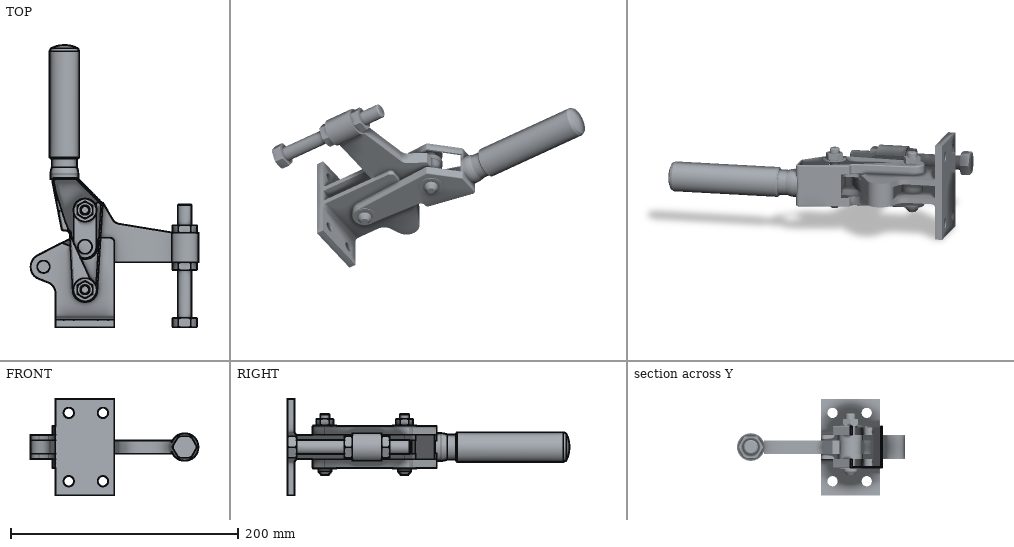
import cadquery as cq
import math


ARM_HALF = 6.0
CHEEK_OUTER = 10.7
HANDLE_HALF = 18.7
WASHER_OUTER = 19.2

ARM_PIVOT = (-36.5, 53.3)
HANDLE_PIVOT = (0, 33.0)
LINK_LOWER = (0, 71.0)
LINK_UPPER = (0, 103.3)

PLATE_LEFT, PLATE_RIGHT = -26.1, 26.0
PLATE_THICKNESS = 6.5
PLATE_HEIGHT = 85.0
PLATE_FILLET = 3.0
MOUNT_HOLE_DIAMETER = 9.0
MOUNT_HOLE_MIDDLE_X = 0.7
MOUNT_HOLE_SPACING_X = 30.0
MOUNT_HOLE_SPACING_Z = 60.2
CHEEK_TOP = 79.0
CHEEK_CORNER_RADIUS = 4.0
CHEEK_PEAK = (-20.7, 74.5)
CHEEK_NECK = (PLATE_LEFT, 36.8)
CHEEK_NECK_RADIUS = 10.0
NOTCH_RADIUS = 11.0
NOTCH_CORNER_RADIUS = 3.2

LINK_RADIUS = 10.0

ARM_EYE_RADIUS = 11.5
ARM_JOURNAL_RADIUS = 5.5
LINK_JOURNAL_RADIUS = 6.2
ARM_BOTTOM = 57.2
ARM_HEEL_X = -6.2
ARM_INNER_CORNER = (9.7, 89.5)
ARM_INNER_CORNER_RADIUS = 3.7
ARM_HORN_TIP = (16.0, 109.5)
ARM_SHOULDER = (26.5, 91.8)
ARM_SHOULDER_RADIUS = 7.5
ARM_END = (76.5, 83.5)
BOSS_RADIUS = 12.2
BOSS_LENGTH = 26.0

SPINDLE_X = 87.8
SPINDLE_RADIUS = 6.2
SPINDLE_TOP = 108.5
SPINDLE_CHAMFER = 1.0
SPINDLE_HEX_CORNERS = 22.0
SPINDLE_HEAD_THICKNESS = 8.2
SPINDLE_NUT_THICKNESS = 7.0
HEX_CHAMFER = 0.7

BOLT_RADIUS = 4.2
BOLT_TOP = 29.4
BOLT_CHAMFER = 0.7
SPACER_RADIUS = 9.5
WASHER_RADIUS = 10.2
BOLT_NUT_THICKNESS = 5.7
BOLT_NUT_CORNERS = 15.5
BOLT_HEAD_RADIUS = 6.0
BOLT_HEAD_TIP_RADIUS = 3.2
BOLT_HEAD_SHOULDER = 21.5
BOLT_HEAD_END = 24.6

SHEET = 1.5
HANDLE_TOP = 132.0
HANDLE_TOP_LEFT = (-29.5, HANDLE_TOP)
HANDLE_TOP_RIGHT = (-7.0, HANDLE_TOP)
HANDLE_ELBOW = (15.7, 109.0)
HANDLE_HEEL = (-20.5, 85.0)
HANDLE_WAIST = (-13.7, 85.0)
HANDLE_EYE_RADIUS = 11.0
HANDLE_TOP_LEFT_RADIUS = 3.0
HANDLE_BEND_RADIUS = 2.2
HANDLE_WAIST_RADIUS = 3.7
FLANGE_EDGE_RADIUS = 1.0
WEB_SLOT_TOP = 92.5
FLANGE_OPENING_EDGE = [(-25.0, 116.5), (-18.0, 94.5), (-10.0, 74.5), (4.0, 43.8), (9.2, 38.3)]

GRIP_X = -18.2
GRIP_RADIUS = 13.2
GRIP_BOTTOM = 148.5
GRIP_BOTTOM_CHAMFER = 1.2
GRIP_SIDE_TOP = 243.4
GRIP_DOME_EDGE = (12.0, 245.9)
GRIP_TOP = 248.8
STEM_RADIUS = 11.2
COLLAR_RADIUS = 12.5
COLLAR_TOP = 135.4
COLLAR_BLEND_TOP = 140.8


def tangent_point(center, radius, point, side):
    """Point where a line from an outside point touches a circle; side is +1 or -1."""
    dx = point[0] - center[0]
    dy = point[1] - center[1]
    angle = math.atan2(dy, dx) + side * math.acos(radius / math.hypot(dx, dy))
    return circle_point(center, radius, angle)


def circle_point(center, radius, angle):
    return (center[0] + radius * math.cos(angle), center[1] + radius * math.sin(angle))


def layer(bottom):
    """Sketch plane parallel to XY at height Z = bottom."""
    return cq.Workplane("XY").workplane(offset=bottom)


def disc(center, radius, bottom, top):
    return layer(bottom).center(*center).circle(radius).extrude(top - bottom)


def round_corner(solid, corner, radius):
    """Round the edge parallel to Z nearest to an outline corner."""
    nearest = cq.selectors.NearestToPointSelector((corner[0], corner[1], 0))
    return solid.edges("|Z").edges(nearest).fillet(radius)


def hex_prism(plane, corners, thickness):
    """Hexagon with its corners cut back at both ends by a chamfered round blank."""
    blank = plane.circle(corners / 2).extrude(thickness).edges("%CIRCLE").chamfer(HEX_CHAMFER)
    return plane.polygon(6, corners).extrude(thickness).intersect(blank)



def cheek_pair():
    """Block with the cheek outline, slotted in the middle for the arm."""
    upper_tangent = tangent_point(ARM_PIVOT, ARM_EYE_RADIUS, CHEEK_PEAK, 1)
    lower_tangent = tangent_point(ARM_PIVOT, ARM_EYE_RADIUS, CHEEK_NECK, -1)
    eye_left = circle_point(ARM_PIVOT, ARM_EYE_RADIUS, math.pi)
    notch_y = LINK_LOWER[1]
    block = (
        layer(-CHEEK_OUTER)
        .moveTo(PLATE_LEFT, 0)
        .lineTo(PLATE_RIGHT, 0)
        .lineTo(PLATE_RIGHT, CHEEK_TOP)
        .lineTo(NOTCH_RADIUS, CHEEK_TOP)
        .lineTo(NOTCH_RADIUS, notch_y)
        .threePointArc((0, notch_y - NOTCH_RADIUS), (-NOTCH_RADIUS, notch_y))
        .lineTo(*CHEEK_PEAK)
        .lineTo(*upper_tangent)
        .threePointArc(eye_left, lower_tangent)
        .lineTo(*CHEEK_NECK)
        .close()
        .extrude(2 * CHEEK_OUTER)
    )
    block = round_corner(block, (PLATE_RIGHT, CHEEK_TOP), CHEEK_CORNER_RADIUS)
    block = round_corner(block, (NOTCH_RADIUS, CHEEK_TOP), NOTCH_CORNER_RADIUS)
    block = round_corner(block, CHEEK_NECK, CHEEK_NECK_RADIUS)
    slot_length = 2 * (PLATE_RIGHT - ARM_PIVOT[0])
    slot = cq.Workplane("XY").box(slot_length, CHEEK_TOP, 2 * ARM_HALF).translate(
        (0, PLATE_THICKNESS + CHEEK_TOP / 2, 0)
    )
    return block.cut(slot)


def make_base():
    width = PLATE_RIGHT - PLATE_LEFT
    plate = cq.Workplane("XY").box(width, PLATE_THICKNESS, PLATE_HEIGHT).translate(
        ((PLATE_LEFT + PLATE_RIGHT) / 2, PLATE_THICKNESS / 2, 0)
    )
    base = plate.union(cheek_pair())
    for side in (-1, 1):
        root = cq.selectors.NearestToPointSelector((0, PLATE_THICKNESS, side * CHEEK_OUTER))
        base = base.edges("|X").edges(root).fillet(PLATE_FILLET)
    mount_holes = (
        cq.Workplane("XZ")
        .center(MOUNT_HOLE_MIDDLE_X, 0)
        .rarray(MOUNT_HOLE_SPACING_X, MOUNT_HOLE_SPACING_Z, 2, 2)
        .circle(MOUNT_HOLE_DIAMETER / 2)
        .extrude(-PLATE_THICKNESS)
    )
    base = base.cut(mount_holes)
    base = base.cut(disc(ARM_PIVOT, ARM_JOURNAL_RADIUS, -CHEEK_OUTER, CHEEK_OUTER))
    return base.cut(disc(HANDLE_PIVOT, BOLT_RADIUS, -CHEEK_OUTER, CHEEK_OUTER))



def make_arm():
    """Bent arm with two journals, and a boss that carries the spindle."""
    heel = (ARM_HEEL_X, ARM_BOTTOM)
    arm = (
        layer(-ARM_HALF)
        .moveTo(*heel)
        .lineTo(ARM_END[0], ARM_BOTTOM)
        .lineTo(*ARM_END)
        .lineTo(*ARM_SHOULDER)
        .lineTo(*ARM_HORN_TIP)
        .lineTo(ARM_INNER_CORNER[0], ARM_HORN_TIP[1])
        .lineTo(*ARM_INNER_CORNER)
        .lineTo(*tangent_point(ARM_PIVOT, ARM_EYE_RADIUS, ARM_INNER_CORNER, 1))
        .threePointArc(
            circle_point(ARM_PIVOT, ARM_EYE_RADIUS, math.pi),
            tangent_point(ARM_PIVOT, ARM_EYE_RADIUS, heel, -1),
        )
        .close()
        .extrude(2 * ARM_HALF)
    )
    arm = round_corner(arm, ARM_INNER_CORNER, ARM_INNER_CORNER_RADIUS)
    arm = round_corner(arm, ARM_SHOULDER, ARM_SHOULDER_RADIUS)
    arm = arm.union(disc(ARM_PIVOT, ARM_JOURNAL_RADIUS, -CHEEK_OUTER, CHEEK_OUTER))
    arm = arm.union(disc(LINK_LOWER, LINK_JOURNAL_RADIUS, -CHEEK_OUTER, CHEEK_OUTER))
    arm = arm.union(spindle_plane(ARM_BOTTOM).circle(BOSS_RADIUS).extrude(BOSS_LENGTH))
    return arm.cut(spindle_plane(ARM_BOTTOM).circle(SPINDLE_RADIUS).extrude(BOSS_LENGTH))



def make_link(bottom):
    length = LINK_UPPER[1] - LINK_LOWER[1]
    thickness = CHEEK_OUTER - ARM_HALF
    link = (
        layer(bottom)
        .center(0, (LINK_UPPER[1] + LINK_LOWER[1]) / 2)
        .slot2D(length + 2 * LINK_RADIUS, 2 * LINK_RADIUS, 90)
        .extrude(thickness)
    )
    link = link.cut(disc(LINK_LOWER, LINK_JOURNAL_RADIUS, bottom, bottom + thickness))
    return link.cut(disc(LINK_UPPER, BOLT_RADIUS, bottom, bottom + thickness))



def spindle_plane(bottom):
    """Sketch plane across the spindle axis at Y = bottom, facing +Y."""
    return cq.Workplane(cq.Plane((SPINDLE_X, bottom, 0), xDir=(1, 0, 0), normal=(0, 1, 0)))


def make_spindle():
    """Hex-headed screw with a lock nut on each side of the arm boss."""
    spindle = (
        spindle_plane(0).circle(SPINDLE_RADIUS).extrude(SPINDLE_TOP).faces(">Y").chamfer(SPINDLE_CHAMFER)
    )
    hexes = [
        (0, SPINDLE_HEAD_THICKNESS),
        (ARM_BOTTOM - SPINDLE_NUT_THICKNESS, SPINDLE_NUT_THICKNESS),
        (ARM_BOTTOM + BOSS_LENGTH, SPINDLE_NUT_THICKNESS),
    ]
    for bottom, thickness in hexes:
        spindle = spindle.union(hex_prism(spindle_plane(bottom), SPINDLE_HEX_CORNERS, thickness))
    return spindle



def make_pivot_bolt(center):
    """Bolt with a spacer between the plates, a washer at each end and a nut on top."""
    bolt = disc(center, BOLT_RADIUS, -BOLT_HEAD_SHOULDER, BOLT_TOP).faces(">Z").chamfer(BOLT_CHAMFER)
    bolt = bolt.union(disc(center, SPACER_RADIUS, -ARM_HALF, ARM_HALF))
    bolt = bolt.union(disc(center, WASHER_RADIUS, HANDLE_HALF, WASHER_OUTER))
    bolt = bolt.union(disc(center, WASHER_RADIUS, -WASHER_OUTER, -HANDLE_HALF))
    nut_plane = layer(WASHER_OUTER).center(*center).transformed(rotate=(0, 0, 90))
    bolt = bolt.union(hex_prism(nut_plane, BOLT_NUT_CORNERS, BOLT_NUT_THICKNESS))
    head = (
        cq.Workplane("XZ")
        .moveTo(0, -WASHER_OUTER)
        .lineTo(BOLT_HEAD_RADIUS, -WASHER_OUTER)
        .lineTo(BOLT_HEAD_RADIUS, -BOLT_HEAD_SHOULDER)
        .lineTo(BOLT_HEAD_TIP_RADIUS, -BOLT_HEAD_END)
        .lineTo(0, -BOLT_HEAD_END)
        .close()
        .revolve(360, (0, 0), (0, 1))
        .translate((center[0], center[1], 0))
    )
    return bolt.union(head)



def handle_block():
    """Solid block with the outline of the sheet-metal channel."""
    eye_bottom = circle_point(HANDLE_PIVOT, HANDLE_EYE_RADIUS, -math.pi / 2)
    block = (
        layer(-HANDLE_HALF)
        .moveTo(*HANDLE_TOP_LEFT)
        .lineTo(*HANDLE_TOP_RIGHT)
        .lineTo(*HANDLE_ELBOW)
        .lineTo(*tangent_point(HANDLE_PIVOT, HANDLE_EYE_RADIUS, HANDLE_ELBOW, -1))
        .threePointArc(eye_bottom, tangent_point(HANDLE_PIVOT, HANDLE_EYE_RADIUS, HANDLE_WAIST, 1))
        .lineTo(*HANDLE_WAIST)
        .lineTo(*HANDLE_HEEL)
        .close()
        .extrude(2 * HANDLE_HALF)
    )
    block = round_corner(block, HANDLE_TOP_LEFT, HANDLE_TOP_LEFT_RADIUS)
    block = round_corner(block, HANDLE_WAIST, HANDLE_WAIST_RADIUS)
    for corner in (HANDLE_TOP_RIGHT, HANDLE_ELBOW, HANDLE_HEEL):
        block = round_corner(block, corner, HANDLE_BEND_RADIUS)
    return block


def flange_opening():
    """Cutter right of the lip that the upper flange keeps along the web and round the pivot."""
    right = HANDLE_ELBOW[0]
    lowest = FLANGE_OPENING_EDGE[-1][1]
    outline = [HANDLE_TOP_LEFT, *FLANGE_OPENING_EDGE, (right, lowest), (right, HANDLE_TOP)]
    return layer(0).polyline(outline).close().extrude(HANDLE_HALF)


def rim_gap():
    """Cutter that leaves only low rims below the web slot and beyond the end wall."""
    left = HANDLE_TOP_LEFT[0]
    right = HANDLE_ELBOW[0]
    corner_x = HANDLE_TOP_RIGHT[0]
    outline = [
        (left, 0),
        (right, 0),
        (right, HANDLE_TOP),
        (corner_x, HANDLE_TOP),
        (corner_x, WEB_SLOT_TOP),
        (left, WEB_SLOT_TOP),
    ]
    return layer(-CHEEK_OUTER).polyline(outline).close().extrude(2 * CHEEK_OUTER)


def stem_and_grip():
    """Collar, stem and domed grip, turned about the grip axis."""
    dome_height = GRIP_TOP - GRIP_DOME_EDGE[1]
    dome_radius = (GRIP_DOME_EDGE[0] ** 2 / dome_height + dome_height) / 2
    dome_middle_x = GRIP_DOME_EDGE[0] / 2
    dome_middle_y = GRIP_TOP - dome_radius + math.sqrt(dome_radius**2 - dome_middle_x**2)
    return (
        cq.Workplane("XY")
        .moveTo(0, HANDLE_TOP - SHEET)
        .lineTo(COLLAR_RADIUS, HANDLE_TOP - SHEET)
        .lineTo(COLLAR_RADIUS, COLLAR_TOP)
        .tangentArcPoint((STEM_RADIUS, COLLAR_BLEND_TOP), relative=False)
        .lineTo(STEM_RADIUS, GRIP_BOTTOM)
        .lineTo(GRIP_RADIUS - GRIP_BOTTOM_CHAMFER, GRIP_BOTTOM)
        .lineTo(GRIP_RADIUS, GRIP_BOTTOM + GRIP_BOTTOM_CHAMFER)
        .lineTo(GRIP_RADIUS, GRIP_SIDE_TOP)
        .lineTo(*GRIP_DOME_EDGE)
        .threePointArc((dome_middle_x, dome_middle_y), (0, GRIP_TOP))
        .close()
        .revolve(360, (0, 0), (0, 1))
        .translate((GRIP_X, 0, 0))
    )


def inset_block(block):
    """Block over the full height, one sheet thickness inside the channel outline."""
    outline = block.faces("<Z").wires().val().offset2D(-SHEET)[0]
    face = cq.Face.makeFromWires(outline)
    return cq.Workplane(cq.Solid.extrudeLinear(face, cq.Vector(0, 0, 2 * HANDLE_HALF)))


def make_handle():
    """Sheet-metal channel round the links, with a stem and grip on its end wall."""
    block = handle_block()
    inset = inset_block(block)
    cavity = inset.translate((0, 0, SHEET)).intersect(inset.translate((0, 0, -SHEET)))
    channel = block.faces("<Z or >Z").edges().fillet(FLANGE_EDGE_RADIUS)
    channel = channel.cut(cavity).cut(rim_gap())
    channel = channel.cut(inset.intersect(flange_opening()))
    for pivot in (HANDLE_PIVOT, LINK_UPPER):
        channel = channel.cut(disc(pivot, BOLT_RADIUS, -HANDLE_HALF, HANDLE_HALF))
    return channel.union(stem_and_grip())


base = make_base()
arm = make_arm()
handle = make_handle()
spindle = make_spindle()
links = [make_link(bottom) for bottom in (-CHEEK_OUTER, ARM_HALF)]
pivot_bolts = [make_pivot_bolt(center) for center in (HANDLE_PIVOT, LINK_UPPER)]

result = cq.Compound.makeCompound(
    [
        base.val(),
        arm.val(),
        handle.val(),
        spindle.val(),
        *[link.val() for link in links],
        *[bolt.val() for bolt in pivot_bolts],
    ]
)